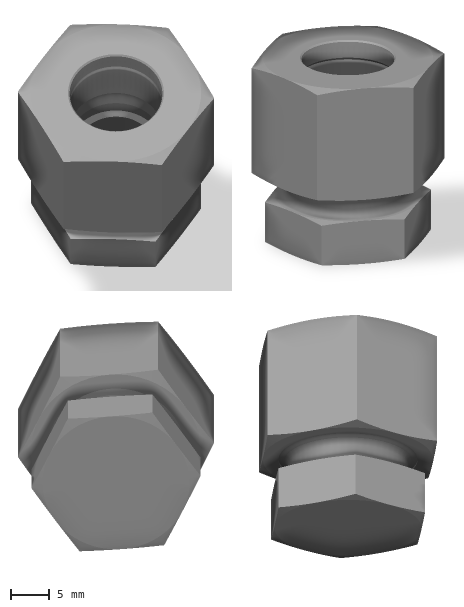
import cadquery as cq
import math


tube_d = 12.0
thread_d = 18.0
thread_root_d = 16.4

nut_across_flats = 22.0
nut_height = 15.5
nut_chamfer_angle = 15.0
nut_top_z = 25.0
nut_bottom_z = nut_top_z - nut_height
nut_lip_thickness = 2.4
nut_lip_z = nut_top_z - nut_lip_thickness
nut_mouth_chamfer = 0.2
nut_recess_d = 15.0
nut_cone_end_z = nut_lip_z - (nut_recess_d - tube_d) / 2

body_across_flats = 19.0
body_hex_height = 6.0
body_chamfer_angle = 10.0
body_top_z = 20.0
neck_d = 15.7
neck_fillet = 1.0
neck_length = 1.5
thread_runout_angle = 30.0
cone_mouth_d = 14.3
cone_half_angle = 12.0
tube_stop_depth = 7.0
tube_stop_z = body_top_z - tube_stop_depth
drill_d = 10.0
drill_end_z = body_hex_height
drill_point_angle = 118.0

ring_bottom_z = 16.8
ring_edge_fillet = 0.35


def slope(degrees):
    return math.tan(math.radians(degrees))


def revolve_profile(profile):
    """Turn a closed (radius, z) profile about the Z axis."""
    return profile.close().revolve(360, (0, 0, 0), (0, 1, 0))


def chamfered_hexagon(across_flats, bottom_z, height, chamfer_angle):
    """Hexagonal prism with corners on the X axis, both ends turned to a shallow cone."""
    corner_r = across_flats / math.sqrt(3)
    face_r = across_flats / 2
    drop = (corner_r - face_r) * slope(chamfer_angle)
    top_z = bottom_z + height
    prism = cq.Workplane("XY").workplane(offset=bottom_z).polygon(6, 2 * corner_r).extrude(height)
    envelope = revolve_profile(
        cq.Workplane("XZ")
        .moveTo(0, bottom_z)
        .lineTo(face_r, bottom_z)
        .lineTo(corner_r, bottom_z + drop)
        .lineTo(corner_r, top_z - drop)
        .lineTo(face_r, top_z)
        .lineTo(0, top_z)
    )
    return prism.intersect(envelope)


def seat_radius(z):
    """Radius of the 24 degree seat cone in the body at height z."""
    return cone_mouth_d / 2 - (body_top_z - z) * slope(cone_half_angle)


def make_nut():
    tube_r = tube_d / 2
    bore = revolve_profile(
        cq.Workplane("XZ")
        .moveTo(0, nut_bottom_z)
        .lineTo(thread_d / 2, nut_bottom_z)
        .lineTo(thread_d / 2, body_top_z)
        .lineTo(nut_recess_d / 2, body_top_z)
        .lineTo(nut_recess_d / 2, nut_cone_end_z)
        .lineTo(tube_r, nut_lip_z)
        .lineTo(tube_r, nut_top_z - nut_mouth_chamfer)
        .lineTo(tube_r + nut_mouth_chamfer, nut_top_z)
        .lineTo(0, nut_top_z)
    )
    return chamfered_hexagon(nut_across_flats, nut_bottom_z, nut_height, nut_chamfer_angle).cut(bore)


def make_shank():
    """Neck with a fillet at each end, then the threaded length."""
    neck_r = neck_d / 2
    fillet_center_r = neck_r + neck_fillet
    neck_start_z = body_hex_height + neck_fillet
    neck_end_z = neck_start_z + neck_length
    arc_shift = neck_fillet * math.sqrt(0.5)

    root_r = thread_root_d / 2
    root_angle = math.acos((fillet_center_r - root_r) / neck_fillet)
    root_z = neck_end_z + neck_fillet * math.sin(root_angle)
    half_arc = (
        fillet_center_r - neck_fillet * math.cos(root_angle / 2),
        neck_end_z + neck_fillet * math.sin(root_angle / 2),
    )
    thread_start_z = root_z + (thread_d / 2 - root_r) * slope(thread_runout_angle)

    return revolve_profile(
        cq.Workplane("XZ")
        .moveTo(0, body_hex_height)
        .lineTo(fillet_center_r, body_hex_height)
        .threePointArc(
            (fillet_center_r - arc_shift, neck_start_z - arc_shift),
            (neck_r, neck_start_z),
        )
        .lineTo(neck_r, neck_end_z)
        .threePointArc(half_arc, (root_r, root_z))
        .lineTo(thread_d / 2, thread_start_z)
        .lineTo(thread_d / 2, body_top_z)
        .lineTo(0, body_top_z)
    )


def make_body_bore():
    """Seat cone, tube socket and blind drilling with its conical point."""
    tube_r = tube_d / 2
    drill_r = drill_d / 2
    seat_end_z = body_top_z - (cone_mouth_d / 2 - tube_r) / slope(cone_half_angle)
    drill_tip_z = drill_end_z - drill_r / slope(drill_point_angle / 2)
    return revolve_profile(
        cq.Workplane("XZ")
        .moveTo(0, drill_tip_z)
        .lineTo(drill_r, drill_end_z)
        .lineTo(drill_r, tube_stop_z)
        .lineTo(tube_r, tube_stop_z)
        .lineTo(tube_r, seat_end_z)
        .lineTo(cone_mouth_d / 2, body_top_z)
        .lineTo(0, body_top_z)
    )


def make_body():
    head = chamfered_hexagon(body_across_flats, 0, body_hex_height, body_chamfer_angle)
    return head.union(make_shank()).cut(make_body_bore())


def make_cutting_ring():
    """Ring held between the body's seat cone and the nut's pressing cone."""
    tube_r = tube_d / 2
    collar_r = cone_mouth_d / 2
    collar_end_z = nut_lip_z - (collar_r - tube_r)
    top_r = tube_r + ring_edge_fillet
    top_z = nut_lip_z - ring_edge_fillet
    arc_shift = ring_edge_fillet * math.sqrt(0.5)
    return revolve_profile(
        cq.Workplane("XZ")
        .moveTo(tube_r, ring_bottom_z)
        .lineTo(seat_radius(ring_bottom_z), ring_bottom_z)
        .lineTo(collar_r, body_top_z)
        .lineTo(collar_r, collar_end_z)
        .lineTo(top_r, top_z)
        .threePointArc(
            (top_r - arc_shift, top_z - ring_edge_fillet + arc_shift),
            (tube_r, top_z - ring_edge_fillet),
        )
    )


body = make_body()
cutting_ring = make_cutting_ring()
nut = make_nut()

result = cq.Compound.makeCompound([body.val(), cutting_ring.val(), nut.val()])